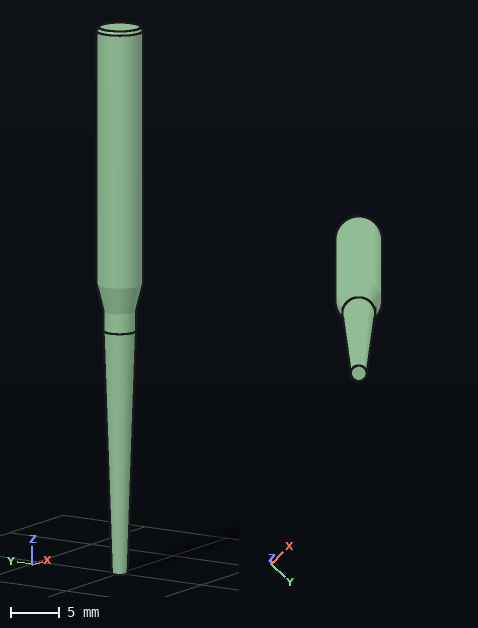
import cadquery as cq

total_length = 57.2
shank_diameter = 4.8
neck_diameter = 3.4
tip_diameter = 1.65
chamfer_width = 0.25
chamfer_height = 0.4

taper_top = 25.4
neck_top = 27.45
shoulder_top = 30.3


def make_shank():
    """Cylindrical shank with a conical shoulder, a short neck and a chamfered end."""
    shank_radius = shank_diameter / 2
    neck_radius = neck_diameter / 2
    profile = (
        cq.Workplane("YZ")
        .moveTo(0, taper_top)
        .lineTo(-neck_radius, taper_top)
        .lineTo(-neck_radius, neck_top)
        .lineTo(-shank_radius, shoulder_top)
        .lineTo(-shank_radius, total_length - chamfer_height)
        .lineTo(chamfer_width - shank_radius, total_length)
        .lineTo(0, total_length)
        .close()
    )
    return profile.revolve(360, (0, 0, 0), (0, 1, 0))


def make_cutter():
    """Tapered cutter, widening from the tip to the full neck diameter."""
    profile = (
        cq.Workplane("YZ")
        .lineTo(-tip_diameter / 2, 0)
        .lineTo(-neck_diameter / 2, taper_top)
        .lineTo(0, taper_top)
        .close()
    )
    return profile.revolve(360, (0, 0, 0), (0, 1, 0))


shank = make_shank()
cutter = make_cutter()

result = cq.Compound.makeCompound([shank.val(), cutter.val()])